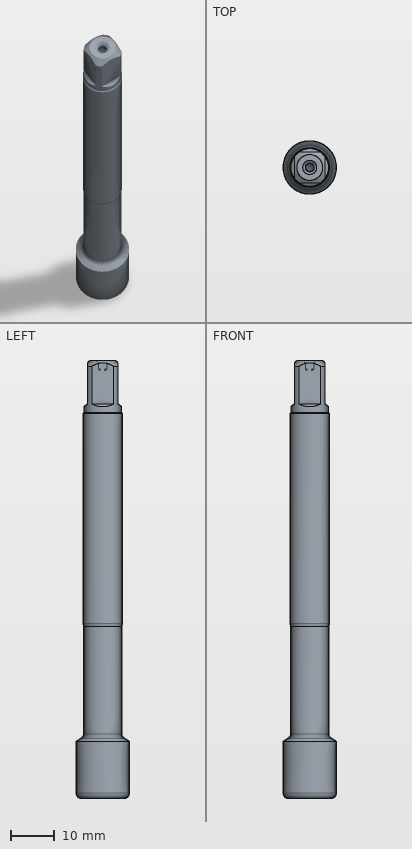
import cadquery as cq
import math

total_height = 100.0
shaft_radius = 9.0 / 2
neck_radius = 8.7 / 2

head_radius = 12.2 / 2
head_bottom_round = 1.3
head_top = 13.0
head_cone_top = 13.7
head_cone_radius = 5.1
neck_fillet_top = 14.7
fillet_bulge = 0.17

joint_z = 39.3
taper_height = 0.6

shaft_top = 88.1
shaft_top_chamfer = 0.2
tang_radius = 8.6 / 2
tang_top_radius = 5.9 / 2
square_side = 7.0
flat_bottom = 90.1
flat_floor_slope = math.radians(40)

center_hole_radius = 2.0 / 2
countersink_radius = 1.6
countersink_depth = countersink_radius - center_hole_radius
center_hole_depth = 2.0
drill_tip_depth = 0.6


def make_socket():
    """Round head with a filleted neck, below the joint."""
    chord_r = head_cone_radius - neck_radius
    chord_z = neck_fillet_top - head_cone_top
    chord = (chord_r**2 + chord_z**2) ** 0.5
    fillet_middle = (
        (head_cone_radius + neck_radius) / 2 - fillet_bulge * chord_z / chord,
        (head_cone_top + neck_fillet_top) / 2 - fillet_bulge * chord_r / chord,
    )
    body = (
        cq.Workplane("XZ")
        .lineTo(head_radius, 0)
        .lineTo(head_radius, head_top)
        .lineTo(head_cone_radius, head_cone_top)
        .threePointArc(fillet_middle, (neck_radius, neck_fillet_top))
        .lineTo(neck_radius, joint_z)
        .lineTo(0, joint_z)
        .close()
        .revolve(360, (0, 0, 0), (0, 1, 0))
    )
    return body.faces("<Z").edges().fillet(head_bottom_round)


def make_spindle_blank():
    """Turned spindle, before the flats and the centre hole are cut."""
    tang_cone_bottom = total_height - (tang_radius - tang_top_radius)
    return (
        cq.Workplane("XZ")
        .moveTo(0, joint_z)
        .lineTo(neck_radius, joint_z)
        .lineTo(shaft_radius, joint_z + taper_height)
        .lineTo(shaft_radius, shaft_top - shaft_top_chamfer)
        .lineTo(tang_radius, shaft_top)
        .lineTo(tang_radius, tang_cone_bottom)
        .lineTo(tang_top_radius, total_height)
        .lineTo(0, total_height)
        .close()
        .revolve(360, (0, 0, 0), (0, 1, 0))
    )


def make_flat_cutter():
    """Cutter for one flat, with a floor sloping down and outward from the flat."""
    inner = square_side / 2
    outer = shaft_radius
    return (
        cq.Workplane("XZ")
        .moveTo(inner, flat_bottom)
        .lineTo(outer, flat_bottom - (outer - inner) * math.tan(flat_floor_slope))
        .lineTo(outer, total_height)
        .lineTo(inner, total_height)
        .close()
        .extrude(shaft_radius, both=True)
    )


def make_center_hole():
    """Countersunk drilled hole with a conical tip."""
    return (
        cq.Workplane("XZ")
        .moveTo(0, total_height)
        .lineTo(countersink_radius, total_height)
        .lineTo(center_hole_radius, total_height - countersink_depth)
        .lineTo(center_hole_radius, total_height - center_hole_depth)
        .lineTo(0, total_height - center_hole_depth - drill_tip_depth)
        .close()
        .revolve(360, (0, 0, 0), (0, 1, 0))
    )


def make_spindle():
    """Upper shaft with a square drive and a centre hole."""
    body = make_spindle_blank().cut(make_center_hole())
    for angle in (0, 90, 180, 270):
        body = body.cut(make_flat_cutter().rotate((0, 0, 0), (0, 0, 1), angle))
    return body


socket = make_socket()
spindle = make_spindle()
result = cq.Compound.makeCompound([socket.val(), spindle.val()])